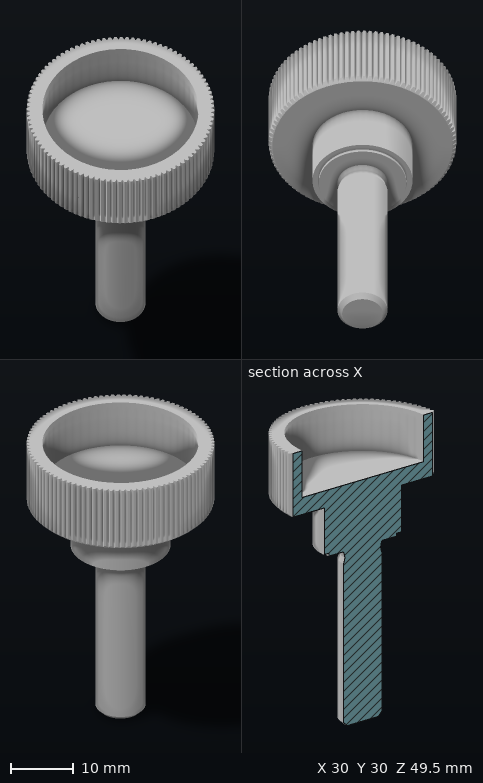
import cadquery as cq
import math


head_radius = 15.0
head_height = 11.0
head_chamfer = 0.6
pocket_radius = 12.5
pocket_depth = 8.0

groove_count = 100
groove_depth = 0.55
groove_width = 0.58

hub_radius = 8.0
hub_height = 8.0
collar_radius = 7.0
collar_height = 0.5

stud_radius = 4.0
stud_length = 30.0
stud_chamfer = 0.75
neck_depth = 0.27
neck_length = 2.0

hub_bottom = collar_height
head_bottom = hub_bottom + hub_height
head_top = head_bottom + head_height
pocket_floor = head_top - pocket_depth


def make_turned_body():
    """Revolve the half profile of the whole screw, given as (radius, z) points."""
    profile = [
        (0, -stud_length),
        (stud_radius - stud_chamfer, -stud_length),
        (stud_radius, -stud_length + stud_chamfer),
        (stud_radius, -neck_length),
        (stud_radius - neck_depth, -neck_length / 2),
        (stud_radius, 0),
        (collar_radius, 0),
        (collar_radius, hub_bottom),
        (hub_radius, hub_bottom),
        (hub_radius, head_bottom),
        (head_radius - head_chamfer, head_bottom),
        (head_radius, head_bottom + head_chamfer),
        (head_radius, head_top),
        (pocket_radius, head_top),
        (pocket_radius, pocket_floor),
        (0, pocket_floor),
    ]
    return cq.Workplane("XZ").polyline(profile).close().revolve(360, (0, 0), (0, 1))


def polar_point(radius, angle):
    """Return the XY point at the given radius and angle in radians."""
    return (radius * math.cos(angle), radius * math.sin(angle))


def make_knurl_envelope():
    """Make the grooved cross-section of the head, as tall as the whole head."""
    pitch_angle = 2 * math.pi / groove_count
    half_groove_angle = math.asin(groove_width / 2 / head_radius)
    outline = cq.Workplane("XY").workplane(offset=head_bottom)
    outline = outline.moveTo(*polar_point(head_radius, -half_groove_angle))
    for index in range(groove_count):
        groove_angle = index * pitch_angle
        outline = outline.lineTo(*polar_point(head_radius - groove_depth, groove_angle))
        outline = outline.lineTo(*polar_point(head_radius, groove_angle + half_groove_angle))
        land_middle = polar_point(head_radius, groove_angle + pitch_angle / 2)
        land_end = polar_point(head_radius, groove_angle + pitch_angle - half_groove_angle)
        outline = outline.threePointArc(land_middle, land_end)
    return outline.close().extrude(head_height)


def make_shank_envelope():
    """Make a cylinder that encloses everything below the head."""
    shank_height = head_bottom + stud_length
    return cq.Workplane("XY").workplane(offset=-stud_length).circle(hub_radius).extrude(shank_height)


envelope = make_knurl_envelope().union(make_shank_envelope())
result = make_turned_body().intersect(envelope)